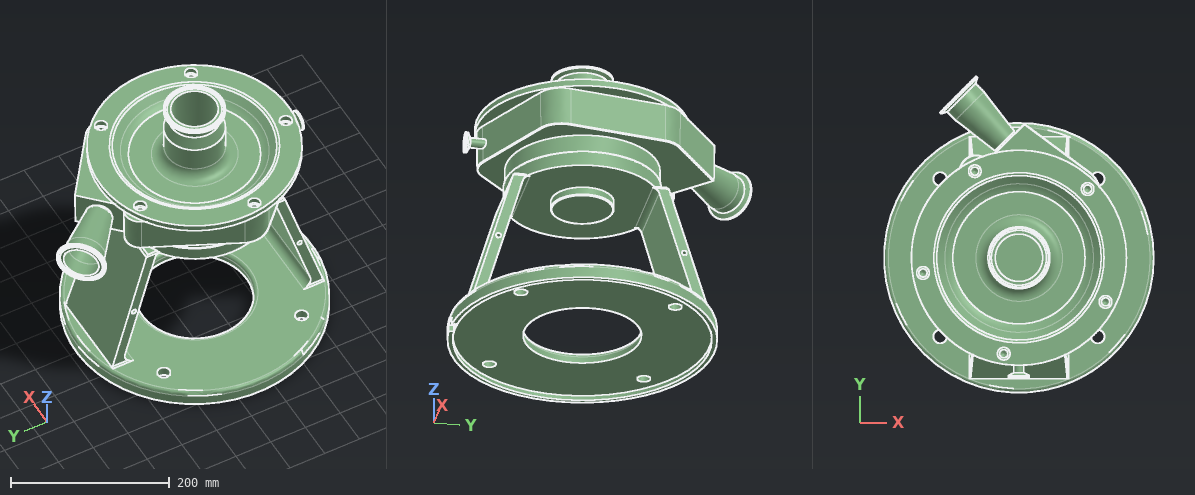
import cadquery as cq
import math

base_top = 20.7
boss_bottom = 185.2
ring_bottom = 196.5
ring_step = 216.0
housing_bottom = 240.0
flange_bottom = 290.5
flange_top = 299.5
inlet_top = 369.0
port_height = 265.5

base_radius = 340.0 / 2
base_opening_radius = 74.5
base_rounding = 5.0
base_hole_diameter = 16.7
base_hole_spacing = 198.5
notch_width = 19.5
notch_height = 8.8
underside_recess = 6.5
underside_rim = 6.8

leg_thickness = 14.0
leg_top = 199.0
leg_foot_y = 152.0
leg_shoulder_y = 100.0
leg_foot_fillet = 11.0
leg_head_fillet = 8.8
leg_top_slope = 2.8
leg_top_side_slope = 1.0
leg_bottom_width = 121.0
leg_top_width = 110.7
foot_flare = 2.0
leg_hole_radius = 3.0
leg_hole_depth = 12.0
leg_hole_height = 106.8

ring_lower_radius = 99.5
ring_upper_radius = 98.0
boss_radius = 40.0
boss_chamfer = 1.0

side_distance = 114.5
side_angles = (225, 297, 369)
corner_radius = 34.0
outlet_side_angle = 53.4 + 360
outlet_side_distance = 139.5
lug_side_angle = 154.5
lug_radius = 21.0
lug_offset = 38.2
housing_draft = 0.8
housing_chamfer = 1.0

flange_radius = 135.5
dish_rim_radius = 107.0
dish_wall_top_radius = 103.5
dish_rim_drop = 1.0
dish_wall_radius = 93.5
dish_floor_radius = 83.3
dish_wall_drop = 9.5
dish_depth = 15.5
cover_bottom = flange_bottom - dish_depth
bolt_circle_radius = 122.3
bolt_count = 5
bolt_first_angle = 45
bolt_recess_radius = 8.0
bolt_thread_radius = 5.0
bolt_thread_depth = 20.0
bolt_drill_tip = 3.0

inlet_radius = 39.0
inlet_neck_radius = 32.5
inlet_cone_bottom = 334.5
inlet_cone_top = 351.5
inlet_bore_radius = 30.0

outlet_angle = 135
outlet_offset = 91.2
outlet_end = 199.5
outlet_straight_start = 179.3
outlet_neck_radius = 16.0
outlet_neck_length = 2.5
outlet_root_radius = 17.5
outlet_radius = 25.5
outlet_wall = 2.5
outlet_clamp_radius = 32.3

drain_end = 150.5
drain_radius = 6.5
drain_bore_radius = 4.8
drain_clamp_radius = 13.0

clamp_rim = 2.5
clamp_thickness = 6.0
groove_width = 2.5
groove_depth = 1.0


def polar(radius, angle):
    turn = math.radians(angle)
    return radius * math.cos(turn), radius * math.sin(turn)


def cylinder(radius, bottom, top):
    return cq.Workplane("XY").workplane(offset=bottom).circle(radius).extrude(top - bottom)


def revolved(points):
    """Solid of revolution about local Z from (radius, height) points."""
    return cq.Workplane("XZ").polyline(points).close().revolve(360, (0, 0), (0, 1))


def clamp_flange(pipe_radius, radius, end):
    """Clamp flange on a pipe end: thin rim, tapered back and a seal groove in the face."""
    rim_back = end - clamp_rim
    flange = revolved([
        (0, end - clamp_thickness),
        (pipe_radius, end - clamp_thickness),
        (radius, rim_back),
        (radius, end),
        (0, end),
    ])
    groove_radius = (pipe_radius + radius) / 2
    groove = (
        cq.Workplane("XY").workplane(offset=end - groove_depth)
        .circle(groove_radius + groove_width / 2)
        .circle(groove_radius - groove_width / 2)
        .extrude(groove_depth)
    )
    return flange.cut(groove)


def lay_down(pipe, angle, offset):
    """Turn an upright pipe to point along a horizontal direction, shifted to its right."""
    side_x, side_y = polar(offset, angle - 90)
    return (
        pipe.rotate((0, 0, 0), (0, 1, 0), 90)
        .rotate((0, 0, 0), (0, 0, 1), angle)
        .translate((side_x, side_y, port_height))
    )


def make_base():
    base = (
        cylinder(base_radius, 0, base_top)
        .faces(">Z").workplane().circle(base_opening_radius).cutThruAll()
        .faces(">Z").edges().fillet(base_rounding)
        .faces(">Z").workplane(origin=(0, 0, base_top))
        .rect(base_hole_spacing, base_hole_spacing, forConstruction=True)
        .vertices().hole(base_hole_diameter)
    )
    recess = cylinder(base_radius - underside_rim, 0, underside_recess)
    notch = (
        cq.Workplane("XY", origin=(0, -base_radius, 0))
        .rect(notch_width, 2 * underside_rim).extrude(notch_height)
    )
    return base.cut(recess).cut(notch)


def make_leg():
    """Leg on the +Y side: leaning side profile trimmed to a tapered front outline."""
    lean = (leg_foot_y - leg_shoulder_y) / (ring_bottom - base_top)
    run = leg_thickness * math.hypot(1, lean)

    def outer_y(height):
        return leg_foot_y - lean * (height - base_top)

    def inner_y(height):
        return outer_y(height) - run

    pad = 2 * leg_foot_fillet
    foot_inner = inner_y(base_top)
    head_inner = inner_y(ring_bottom)
    profile = (
        cq.Workplane("YZ")
        .polyline([
            (leg_foot_y, base_top - base_rounding),
            (leg_foot_y, base_top),
            (leg_shoulder_y, ring_bottom),
            (leg_shoulder_y - leg_top_slope, leg_top),
            (head_inner - pad, leg_top),
            (head_inner - pad, ring_bottom),
            (head_inner, ring_bottom),
            (foot_inner, base_top),
            (foot_inner - pad, base_top),
            (foot_inner - pad, base_top - base_rounding),
        ])
        .close().extrude(leg_bottom_width, both=True)
    )
    inner_corners = (
        ((0, head_inner, ring_bottom), leg_head_fillet),
        ((0, foot_inner, base_top), leg_foot_fillet),
    )
    for corner, radius in inner_corners:
        nearest = cq.selectors.NearestToPointSelector(corner)
        profile = profile.edges("|X").edges(nearest).fillet(radius)

    half_bottom = leg_bottom_width / 2
    half_top = leg_top_width / 2
    right_side = [
        (half_bottom + foot_flare, base_top - base_rounding),
        (half_bottom + foot_flare, base_top),
        (half_bottom, base_top + foot_flare),
        (half_top, ring_bottom),
        (half_top - leg_top_side_slope, leg_top),
    ]
    left_side = [(-x, z) for x, z in reversed(right_side)]
    front = cq.Workplane("XZ").polyline(right_side + left_side).close().extrude(-base_radius)
    leg = profile.intersect(front)

    hole_y = outer_y(leg_hole_height) - run / 2
    taper = (half_bottom - half_top) / (ring_bottom - base_top)
    side_x = half_bottom - taper * (leg_hole_height - base_top)
    for side in (-1, 1):
        hole = (
            cq.Workplane("YZ", origin=(side * (side_x - leg_hole_depth), 0, 0))
            .center(hole_y, leg_hole_height).circle(leg_hole_radius)
            .extrude(side * 2 * leg_hole_depth)
        )
        leg = leg.cut(hole)
    return leg


def make_ring():
    boss = cylinder(boss_radius, boss_bottom, ring_bottom).faces("<Z").edges().chamfer(boss_chamfer)
    lower = cylinder(ring_lower_radius, ring_bottom, ring_step)
    upper = cylinder(ring_upper_radius, ring_step, housing_bottom)
    return lower.union(upper).union(boss)


def side_crossing(angle_a, distance_a, angle_b, distance_b):
    """Point where two sides meet, each given by the direction and distance of its normal."""
    ax, ay = polar(1, angle_a)
    bx, by = polar(1, angle_b)
    det = ax * by - ay * bx
    return (distance_a * by - distance_b * ay) / det, (ax * distance_b - bx * distance_a) / det


def make_housing():
    """Five-sided housing with round corners, a lug and a sharp outlet corner."""
    face_x, face_y = polar(side_distance, outlet_angle)
    shift_x, shift_y = polar(lug_offset, outlet_angle - 90)
    lug = (face_x + shift_x, face_y + shift_y)
    lug_nx, lug_ny = polar(1, lug_side_angle)
    lug_side_distance = lug[0] * lug_nx + lug[1] * lug_ny + lug_radius

    sides = [(lug_side_angle, lug_side_distance)]
    sides += [(angle, side_distance) for angle in side_angles]
    sides += [(outlet_side_angle, outlet_side_distance)]

    outlet_corner = side_crossing(
        outlet_side_angle, outlet_side_distance, outlet_angle, side_distance)

    def on_arc(center, radius, angle):
        x, y = polar(radius, angle)
        return center[0] + x, center[1] + y

    outline = cq.Workplane("XY").workplane(offset=flange_bottom).moveTo(*outlet_corner)
    lug_start = outlet_angle - 90
    outline = outline.lineTo(*on_arc(lug, lug_radius, lug_start)).threePointArc(
        on_arc(lug, lug_radius, (lug_start + lug_side_angle) / 2),
        on_arc(lug, lug_radius, lug_side_angle))
    for (angle_a, distance_a), (angle_b, distance_b) in zip(sides, sides[1:]):
        center = side_crossing(
            angle_a, distance_a - corner_radius, angle_b, distance_b - corner_radius)
        outline = outline.lineTo(*on_arc(center, corner_radius, angle_a)).threePointArc(
            on_arc(center, corner_radius, (angle_a + angle_b) / 2),
            on_arc(center, corner_radius, angle_b))
    housing = outline.close().extrude(housing_bottom - flange_bottom, taper=housing_draft)
    cover_seat = cylinder(dish_rim_radius, cover_bottom, flange_bottom)
    return housing.faces("<Z").edges().chamfer(housing_chamfer).cut(cover_seat)


def make_cover():
    """Flange with its dish and the inlet pipe."""
    dish_floor = flange_top - dish_depth
    wall_foot = flange_top - dish_wall_drop
    root_fillet = dish_depth
    root_radius = inlet_radius + root_fillet
    root_bulge = root_fillet * (1 - math.sqrt(0.5))
    return (
        cq.Workplane("XZ")
        .moveTo(0, cover_bottom)
        .lineTo(dish_rim_radius, cover_bottom)
        .lineTo(dish_rim_radius, flange_bottom)
        .lineTo(flange_radius, flange_bottom)
        .lineTo(flange_radius, flange_top)
        .lineTo(dish_rim_radius, flange_top)
        .lineTo(dish_wall_top_radius, flange_top - dish_rim_drop)
        .lineTo(dish_wall_radius, wall_foot)
        .tangentArcPoint((dish_floor_radius, dish_floor), relative=False)
        .lineTo(root_radius, dish_floor)
        .threePointArc((inlet_radius + root_bulge, dish_floor + root_bulge), (inlet_radius, flange_top))
        .lineTo(inlet_radius, inlet_cone_bottom)
        .lineTo(inlet_neck_radius, inlet_cone_top)
        .lineTo(inlet_neck_radius, inlet_top)
        .lineTo(0, inlet_top)
        .close().revolve(360, (0, 0), (0, 1))
        .union(clamp_flange(inlet_neck_radius, inlet_radius, inlet_top))
    )


def make_bolt_hole():
    thread_bottom = flange_bottom - bolt_thread_depth
    return revolved([
        (0, flange_top),
        (bolt_recess_radius, flange_top),
        (bolt_recess_radius, flange_bottom),
        (bolt_thread_radius, flange_bottom),
        (bolt_thread_radius, thread_bottom),
        (0, thread_bottom - bolt_drill_tip),
    ])


def make_outlet(wall, start):
    """Tapered outlet pipe, inset by a wall thickness and starting at a given distance."""
    cone_start = side_distance + outlet_neck_length
    return revolved([
        (0, start),
        (outlet_neck_radius - wall, start),
        (outlet_neck_radius - wall, cone_start),
        (outlet_root_radius - wall, cone_start),
        (outlet_radius - wall, outlet_straight_start),
        (outlet_radius - wall, outlet_end),
        (0, outlet_end),
    ])


outlet = make_outlet(0, side_distance - outlet_wall)
outlet = outlet.union(clamp_flange(outlet_radius, outlet_clamp_radius, outlet_end))
outlet_bore = make_outlet(outlet_wall, 0)
drain = cylinder(drain_radius, side_distance, drain_end)
drain = drain.union(clamp_flange(drain_radius, drain_clamp_radius, drain_end))
drain_bore = cylinder(drain_bore_radius, side_distance, drain_end)

leg = make_leg()
result = (
    make_base()
    .union(leg)
    .union(leg.mirror("XZ"))
    .union(make_ring())
    .union(make_housing())
    .union(make_cover())
    .union(lay_down(outlet, outlet_angle, outlet_offset))
    .union(lay_down(drain, -90, 0))
    .cut(cylinder(inlet_bore_radius, port_height, inlet_top))
    .cut(lay_down(outlet_bore, outlet_angle, outlet_offset))
    .cut(lay_down(drain_bore, -90, 0))
)
bolt_hole = make_bolt_hole()
for index in range(bolt_count):
    x, y = polar(bolt_circle_radius, bolt_first_angle + index * 360 / bolt_count)
    result = result.cut(bolt_hole.translate((x, y, 0)))